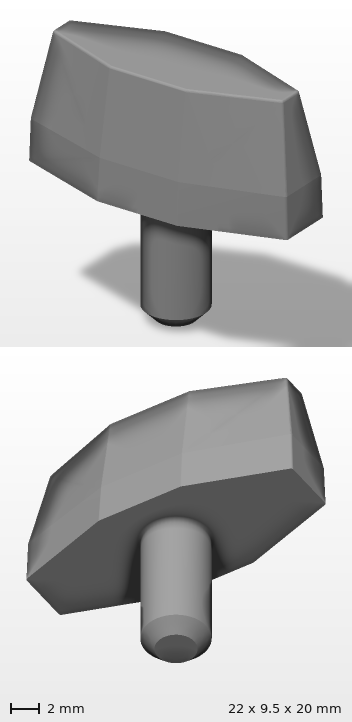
import cadquery as cq

head_length = 22.0
head_width = 9.5
head_height = 10.0
total_height = 20.0

band_height = 3.3
band_end_draft = 0.1
band_side_draft = 0.25

base_flat_length = 6.78
base_end_width = 4.45
band_flat_length = 6.69
band_end_width = 4.35
top_length = 19.54
top_width = 6.86
top_flat_length = 6.51
top_end_width = 2.02
edge_radius = 0.2

stud_diameter = 5.0
stud_length = total_height - head_height
tip_chamfer = 1.0
root_radius = 0.2


def octagon(length, width, flat_length, end_width, height):
    """Elongated octagon with rounded corners, symmetric about X and Y, at the given height."""
    x_end, y_end = length / 2, end_width / 2
    x_flat, y_side = flat_length / 2, width / 2
    points = [
        (x_end, -y_end), (x_end, y_end), (x_flat, y_side), (-x_flat, y_side),
        (-x_end, y_end), (-x_end, -y_end), (-x_flat, -y_side), (x_flat, -y_side),
    ]
    outline = cq.Wire.makePolygon([cq.Vector(x, y, height) for x, y in points], close=True)
    return outline.fillet2D(edge_radius, outline.Vertices())


def make_head():
    """Two tapered octagonal bands with rounded corners and top rim."""
    base = octagon(head_length, head_width, base_flat_length, base_end_width, 0)
    band = octagon(
        head_length - 2 * band_end_draft,
        head_width - 2 * band_side_draft,
        band_flat_length,
        band_end_width,
        band_height,
    )
    top = octagon(top_length, top_width, top_flat_length, top_end_width, head_height)
    head = cq.Solid.makeLoft([base, band, top], True)
    return cq.Workplane(obj=head).faces(">Z").edges().fillet(edge_radius)


def make_stud():
    """Round stud with a flared root fillet and a chamfered tip."""
    radius = stud_diameter / 2
    arc_center = (radius + root_radius, -root_radius)
    diagonal = root_radius * 0.5 ** 0.5
    return (
        cq.Workplane("XZ")
        .lineTo(radius + root_radius, 0)
        .threePointArc((arc_center[0] - diagonal, arc_center[1] + diagonal), (radius, -root_radius))
        .lineTo(radius, tip_chamfer - stud_length)
        .lineTo(radius - tip_chamfer, -stud_length)
        .lineTo(0, -stud_length)
        .close()
        .revolve(360, (0, 0), (0, 1))
    )


result = make_head().union(make_stud())